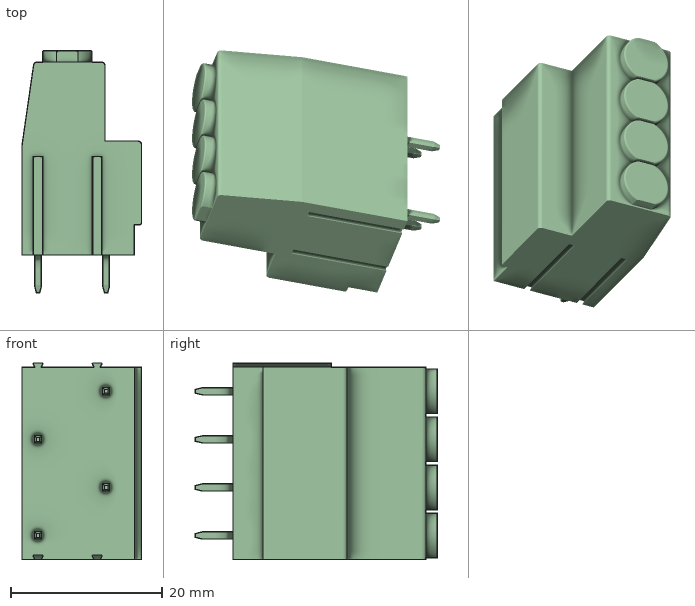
import cadquery as cq


overall_length = 32

pole_count = 4
housing_height = 25.4
pole_pitch = housing_height / pole_count
housing_depth = 25.5
foot_width = 14.88
housing_width = 15.85
foot_depth = 3.97
shelf_y = 15.07
tower_width = 11.0
slope_start_y = 14.43
slope_run = 1.6
corner_radius = 0.5
lip_radius = 0.35

rib_centres_x = (2.15, 9.95)
rib_length = 13.0
rib_height = 0.58
rib_width = 1.35
rib_neck_width = 0.83
rib_chamfer = 0.1

pin_width = 0.9
pin_height = 1.0
pin_length = 5.0
pin_tip_width = 0.45
pin_tip_height = 0.5
pin_width_taper_length = 0.83
pin_height_taper_length = 1.0
pin_columns_x = (2.15, 11.15)

screw_x = 6.0
screw_diameter = 6.55
screw_flats = 5.92
screw_protrusion = overall_length - pin_length - housing_depth
screw_edge_radius = 0.22


def pole_z(pole):
    """Height of the centre of a pole, counted from the bottom."""
    return (pole + 0.5) * pole_pitch


def make_housing():
    outline = [
        (0, 0),
        (foot_width, 0),
        (foot_width, foot_depth),
        (housing_width, foot_depth),
        (housing_width, shelf_y),
        (tower_width, shelf_y),
        (tower_width, housing_depth),
        (slope_run, housing_depth),
        (0, slope_start_y),
    ]
    body = cq.Workplane("XY").polyline(outline).close().extrude(housing_height)

    def vertical_edge(x, y):
        return cq.selectors.NearestToPointSelector((x, y, housing_height / 2))

    for x, y, radius in (
        (housing_width, foot_depth, lip_radius),
        (housing_width, shelf_y, corner_radius),
        (tower_width, housing_depth, corner_radius),
        (slope_run, housing_depth, corner_radius),
    ):
        body = body.edges("|Z").edges(vertical_edge(x, y)).fillet(radius)
    return body


def make_dovetail(centre_x, base_z):
    """Dovetail bar starting at the board face, narrow at its base and wide at its head."""
    half_neck = rib_neck_width / 2
    half_head = rib_width / 2
    right_side = [
        (half_neck, 0),
        (half_head, rib_height - rib_chamfer),
        (half_head - rib_chamfer, rib_height),
    ]
    left_side = [(-x, z) for x, z in reversed(right_side)]
    return (
        cq.Workplane("XZ", origin=(centre_x, 0, base_z))
        .polyline(right_side + left_side)
        .close()
        .extrude(-rib_length)
    )


def make_tapered_strip(plane, size, tip_size, taper_length, thickness):
    """Strip along -Y from the board face, narrowed over the last stretch before its tip."""
    taper_start = pin_length - taper_length
    outline = [
        (-size / 2, 0),
        (-size / 2, -taper_start),
        (-tip_size / 2, -pin_length),
        (tip_size / 2, -pin_length),
        (size / 2, -taper_start),
        (size / 2, 0),
    ]
    return cq.Workplane(plane).polyline(outline).close().extrude(thickness / 2, both=True)


def make_pin(x, z):
    """Rectangular pin whose width and height taper over different lengths."""
    across = make_tapered_strip("XY", pin_width, pin_tip_width, pin_width_taper_length, pin_height)
    upright_plane = cq.Plane(origin=(0, 0, 0), xDir=(0, 0, -1), normal=(1, 0, 0))
    upright = make_tapered_strip(
        upright_plane, pin_height, pin_tip_height, pin_height_taper_length, pin_width
    )
    return across.intersect(upright).translate((x, 0, z))


def make_screw(z):
    """Round screw head with a rounded rim, cut flat above and below."""
    head = (
        cq.Workplane("XZ", origin=(screw_x, housing_depth, z))
        .circle(screw_diameter / 2)
        .extrude(-screw_protrusion)
        .faces(">Y")
        .edges()
        .fillet(screw_edge_radius)
    )
    flats = (
        cq.Workplane("XZ", origin=(screw_x, housing_depth, z))
        .rect(screw_diameter, screw_flats)
        .extrude(-screw_protrusion)
    )
    return head.intersect(flats)


result = make_housing()

for rib_x in rib_centres_x:
    result = result.union(make_dovetail(rib_x, housing_height))
    result = result.cut(make_dovetail(rib_x, 0))

for pole in range(pole_count):
    pin_x = pin_columns_x[pole % len(pin_columns_x)]
    result = result.union(make_pin(pin_x, pole_z(pole)))
    result = result.union(make_screw(pole_z(pole)))